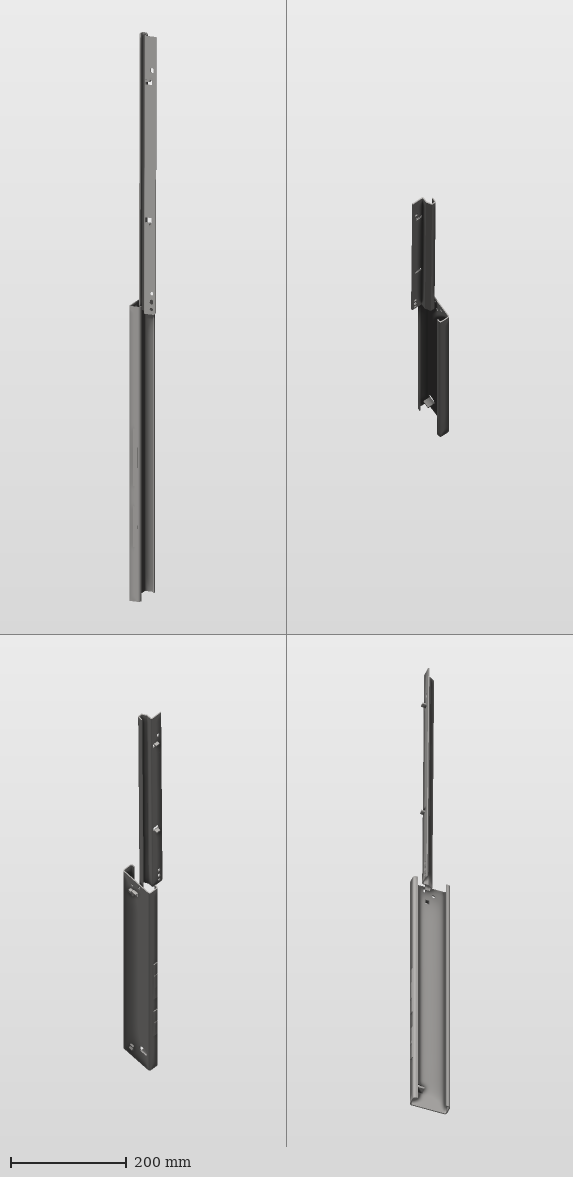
import cadquery as cq
import math

total_height = 1015.0
sheet = 2.0

fixed_height = 531.0
web_x = -19.0
fixed_width = 21.0
fixed_right = web_x + fixed_width
fixed_back = 36.0
fixed_front = -33.0
bend_radius = 4.6
lip_length = 8.0

pad_height = 2.0
pad_side_height = 1.5
pad_side_length = 33.0
pad_x = -6.0
pad_width = 8.0
long_pad_base, long_pad_step = 208.0, 37.0
short_pad_base, short_pad_step = 98.0, 6.0

lug_tip_x = -24.9
small_hole_diameter = 6.0
small_hole_y, small_hole_z = 11.0, 513.0
side_hole_y, side_hole_z = -6.0, 522.0
side_hole_width, side_hole_height = 4.0, 8.0
window_y, window_z = 1.0, 497.0
window_width, window_height = 10.0, 12.0
window_lug_thickness = 3.0
block_lug_y, block_lug_z = 11.0, 497.0
block_lug_width, block_lug_height = 6.0, 6.0
low_lug_y, low_lug_width = 9.0, 8.0
low_lug_bottom, low_lug_top = 23.0, 36.0
low_lug_peak_z = 27.0
low_lug_shoulder_x = -22.0
round_hole_diameter = 19.0
round_hole_y, round_hole_z = -17.0, 44.0
tab_y_width = 14.0
tab_reach = 12.0
tab_thickness = 4.0
tab_top = 38.0

slide_bottom = 516.0
slide_length = total_height - slide_bottom
slide_lean = 3.5
lip_x = -11.0
crown_y = 6.0
lip_end_y = -4.0
crown_right = -2.0
wall_x = 4.0
wall_top_y = -3.0
flange_y = -15.0
flange_right = 24.9
flange_corner_radius = 4.0
slide_bend_radius = 3.0

slot_x = 17.0
slot_width = 6.0
slot_height = 9.0
slot_heights = (954.0, 538.0)
pilot_height = 525.0
pilot_diameter = 6.0
short_slot_z, short_slot_height = 553.0, 7.0
opening_x, opening_width = 11.0, 12.0
upper_opening = (928.0, 938.0)
lower_opening = (680.0, 689.0)
tongue_width = 8.0
tongue_thickness = 3.0
tongue_reach = 6.0


def block(x_range, y_range, z_range):
    """Box given by its limits along each axis."""
    sizes = [high - low for low, high in (x_range, y_range, z_range)]
    return cq.Workplane("XY").box(*sizes, centered=False).translate((x_range[0], y_range[0], z_range[0]))


def around(middle, size):
    """Limits of a length centred on a position."""
    return (middle - size / 2, middle + size / 2)


def channel():
    """Lipped channel with rounded bends."""
    outer = block((web_x, fixed_right), (fixed_front, fixed_back), (0, fixed_height))
    outer = outer.edges("|Z").fillet(bend_radius)
    inner = block(
        (web_x + sheet, fixed_right - sheet),
        (fixed_front + sheet, fixed_back - sheet),
        (0, fixed_height),
    )
    inner = inner.edges("|Z").fillet(bend_radius - sheet)
    mouth = block(
        (web_x + fixed_width / 2, fixed_right),
        (fixed_front + lip_length, fixed_back - lip_length),
        (0, fixed_height),
    )
    return outer.cut(inner).cut(mouth)


def flange_pad(base, step):
    """Stepped pad raised from the -Y flange, with its middle step the highest."""
    x_range = around(pad_x, pad_width)
    root_y = fixed_front + sheet / 2
    step_base = base + pad_side_length
    step_top = step_base + step
    low = block(x_range, (fixed_front - pad_side_height, root_y), (base, step_top + pad_side_length))
    high = block(x_range, (fixed_front - pad_height, root_y), (step_base, step_top))
    return low.union(high)


def web_hole(y, z, diameter):
    """Cutter for a round hole through the web."""
    hole = cq.Workplane("YZ").center(y, z).circle(diameter / 2).extrude(2 * sheet)
    return hole.translate((web_x - sheet / 2, 0, 0))


def web_opening(y, z, width, height):
    """Cutter for a rectangular opening through the web."""
    return block((web_x - sheet / 2, web_x + 1.5 * sheet), around(y, width), around(z, height))


def low_lug():
    """Pointed lug on the back of the web, near the bottom."""
    root_x = web_x + sheet / 2
    outline = [
        (root_x, low_lug_bottom),
        (low_lug_shoulder_x, low_lug_bottom),
        (lug_tip_x, low_lug_peak_z),
        (low_lug_shoulder_x, (low_lug_peak_z + low_lug_top) / 2),
        (low_lug_shoulder_x, low_lug_top),
        (root_x, low_lug_top),
    ]
    lug = cq.Workplane("XZ").polyline(outline).close().extrude(low_lug_width / 2, both=True)
    return lug.translate((0, low_lug_y, 0))


def make_fixed_rail():
    rail = channel()
    rail = rail.union(flange_pad(long_pad_base, long_pad_step))
    rail = rail.union(flange_pad(short_pad_base, short_pad_step))
    rail = rail.cut(web_hole(small_hole_y, small_hole_z, small_hole_diameter))
    rail = rail.cut(web_opening(side_hole_y, side_hole_z, side_hole_width, side_hole_height))
    rail = rail.cut(web_opening(window_y, window_z, window_width, window_height))
    rail = rail.cut(web_hole(round_hole_y, round_hole_z, round_hole_diameter))

    lug_x = (lug_tip_x, web_x + sheet)
    window_top = window_z + window_height / 2
    window_lug_z = (window_top - window_lug_thickness, window_top)
    rail = rail.union(block(lug_x, around(window_y, window_width), window_lug_z))
    window_side = window_y + window_width / 2
    side_lug_y = (window_side - window_lug_thickness, window_side)
    rail = rail.union(block(lug_x, side_lug_y, around(window_z, window_height)))
    rail = rail.union(
        block(lug_x, around(block_lug_y, block_lug_width), around(block_lug_z, block_lug_height))
    )
    rail = rail.union(low_lug())

    tab_z = (tab_top - tab_thickness, tab_top)
    return rail.union(block((web_x, web_x + sheet + tab_reach), around(round_hole_y, tab_y_width), tab_z))


def round_bend(strip, outside, inside):
    """Round both edges of a right-angled bend about one centre."""
    middle_z = slide_bottom + slide_length / 2
    outer_edge = cq.NearestToPointSelector((*outside, middle_z))
    strip = strip.edges("|Z").edges(outer_edge).fillet(slide_bend_radius)
    inner_edge = cq.NearestToPointSelector((*inside, middle_z))
    return strip.edges("|Z").edges(inner_edge).fillet(slide_bend_radius - sheet)


def bent_strip():
    """Sliding rail section: hanging lip, crown, sloped side, upright wall and flange."""
    outline = [
        (lip_x, lip_end_y),
        (lip_x, crown_y),
        (crown_right, crown_y),
        (wall_x, wall_top_y),
        (wall_x, flange_y + sheet),
        (flange_right, flange_y + sheet),
        (flange_right, flange_y),
        (wall_x - sheet, flange_y),
        (wall_x - sheet, wall_top_y - sheet / 2),
        (crown_right - sheet / 2, crown_y - sheet),
        (lip_x + sheet, crown_y - sheet),
        (lip_x + sheet, lip_end_y),
    ]
    strip = cq.Workplane("XY").polyline(outline).close().extrude(slide_length)
    strip = strip.translate((0, 0, slide_bottom))
    strip = round_bend(strip, (lip_x, crown_y), (lip_x + sheet, crown_y - sheet))
    strip = round_bend(strip, (wall_x - sheet, flange_y), (wall_x, flange_y + sheet))
    return strip.edges("|Y").edges(">X").edges("<Z").fillet(flange_corner_radius)


def flange_slot(z, height):
    """Cutter for an upright round-ended slot through the flange."""
    slot = cq.Workplane("XZ").center(slot_x, z).slot2D(height, slot_width, 90)
    return slot.extrude(2 * sheet, both=True).translate((0, flange_y + sheet / 2, 0))


def flange_opening(z_range):
    """Cutter for a wide opening through the flange."""
    return block(around(opening_x, opening_width), around(flange_y + sheet / 2, 2 * sheet), z_range)


def tongue(bottom):
    """Tab bent forward from the flange at the edge of an opening."""
    y_range = (flange_y - tongue_reach, flange_y + sheet)
    return block(around(opening_x, tongue_width), y_range, (bottom, bottom + tongue_thickness))


def make_sliding_rail():
    rail = bent_strip()
    for z in slot_heights:
        rail = rail.cut(flange_slot(z, slot_height))
    rail = rail.cut(flange_slot(short_slot_z, short_slot_height))
    pilot = cq.Workplane("XZ").center(slot_x, pilot_height).circle(pilot_diameter / 2)
    rail = rail.cut(pilot.extrude(2 * sheet, both=True).translate((0, flange_y + sheet / 2, 0)))
    for z_range in (upper_opening, lower_opening):
        rail = rail.cut(flange_opening(z_range))
    rail = rail.union(tongue(upper_opening[1] - tongue_thickness))
    rail = rail.union(tongue(lower_opening[0] - tongue_thickness))

    lean_angle = math.degrees(math.asin(slide_lean / slide_length))
    return rail.rotate((0, flange_y, total_height), (1, flange_y, total_height), -lean_angle)


fixed_rail = make_fixed_rail()
sliding_rail = make_sliding_rail()
result = cq.Compound.makeCompound([fixed_rail.val(), sliding_rail.val()])